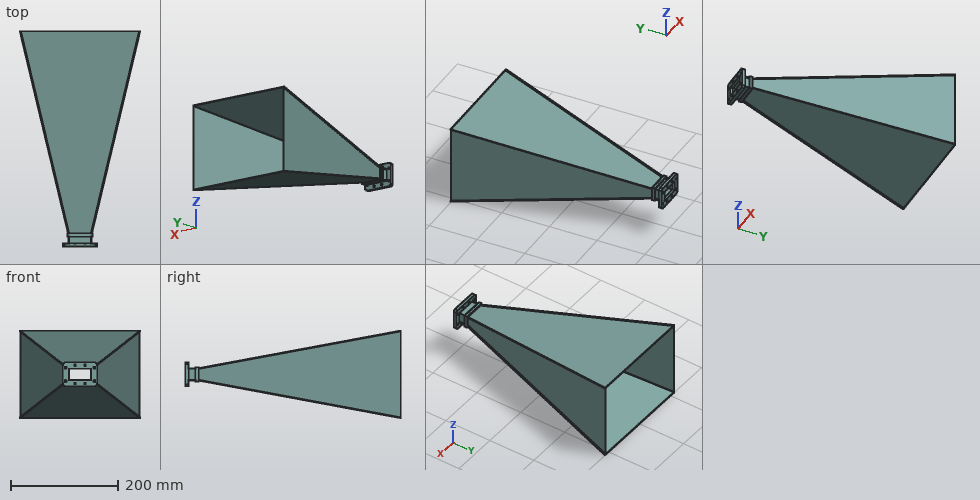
import cadquery as cq

MOUTH_WIDTH = 224.38
MOUTH_HEIGHT = 163.17
TOTAL_LENGTH = 401.4

GUIDE_WIDTH = 40.386
GUIDE_HEIGHT = 20.193
GUIDE_WALL = 1.626

FLANGE_WIDTH = 63.5
FLANGE_HEIGHT = 44.8
FLANGE_THICKNESS = 6.35
FLANGE_CHAMFER = 3.6
HOLE_DIAMETER = 3.5
SIDE_HOLE_X = 26.9
SIDE_HOLE_Z = 12.1
EDGE_HOLE_X = 9.3
EDGE_HOLE_Z = 17.0

COLLAR_WALL = 1.9
COLLAR_LENGTH = 6.5
NECK_Y = 25.4

SHEET = 1.626
OVERHANG = 0.7

TUBE_WIDTH = GUIDE_WIDTH + 2 * GUIDE_WALL
TUBE_HEIGHT = GUIDE_HEIGHT + 2 * GUIDE_WALL
COLLAR_WIDTH = TUBE_WIDTH + 2 * COLLAR_WALL
COLLAR_HEIGHT = TUBE_HEIGHT + 2 * COLLAR_WALL
NECK_WIDTH = GUIDE_WIDTH + 2 * (SHEET + OVERHANG)
NECK_HEIGHT = GUIDE_HEIGHT + 2 * SHEET


def block(width, height, start_y, end_y):
    """Box centred on the Y axis, running from start_y to end_y."""
    middle_y = (start_y + end_y) / 2
    return cq.Workplane("XY", origin=(0, middle_y, 0)).box(width, end_y - start_y, height)


def frustum(inset_x, inset_z):
    """Solid pyramid frustum of the horn with its sides moved inward by the insets."""
    return (
        cq.Workplane("XZ", origin=(0, NECK_Y, 0))
        .rect(NECK_WIDTH - 2 * inset_x, NECK_HEIGHT - 2 * inset_z)
        .workplane(offset=NECK_Y - TOTAL_LENGTH)
        .rect(MOUTH_WIDTH - 2 * inset_x, MOUTH_HEIGHT - 2 * inset_z)
        .loft(ruled=True)
    )


def make_horn():
    """Four tapering sheets around an open pyramid."""
    top_and_bottom = frustum(0, 0).cut(frustum(0, SHEET))
    sides = frustum(OVERHANG, SHEET)
    cavity = frustum(OVERHANG + SHEET, SHEET)
    return top_and_bottom.union(sides).cut(cavity)


def make_flange():
    """Chamfered rectangular flange with eight through holes."""
    plate = block(FLANGE_WIDTH, FLANGE_HEIGHT, 0, FLANGE_THICKNESS)
    plate = plate.edges("|Y").chamfer(FLANGE_CHAMFER)
    hole_spots = [
        (side_x * x, side_z * z)
        for x, z in ((SIDE_HOLE_X, SIDE_HOLE_Z), (EDGE_HOLE_X, EDGE_HOLE_Z))
        for side_x in (-1, 1)
        for side_z in (-1, 1)
    ]
    holes = (
        cq.Workplane("XZ")
        .pushPoints(hole_spots)
        .circle(HOLE_DIAMETER / 2)
        .extrude(-FLANGE_THICKNESS)
    )
    return plate.cut(holes)


def make_feed():
    """Flange, waveguide tube and collar with the waveguide bore through them."""
    tube = block(TUBE_WIDTH, TUBE_HEIGHT, 0, NECK_Y)
    collar = block(COLLAR_WIDTH, COLLAR_HEIGHT, NECK_Y - COLLAR_LENGTH, NECK_Y)
    bore = block(GUIDE_WIDTH, GUIDE_HEIGHT, 0, NECK_Y)
    return make_flange().union(tube).union(collar).cut(bore)


result = make_feed().union(make_horn())